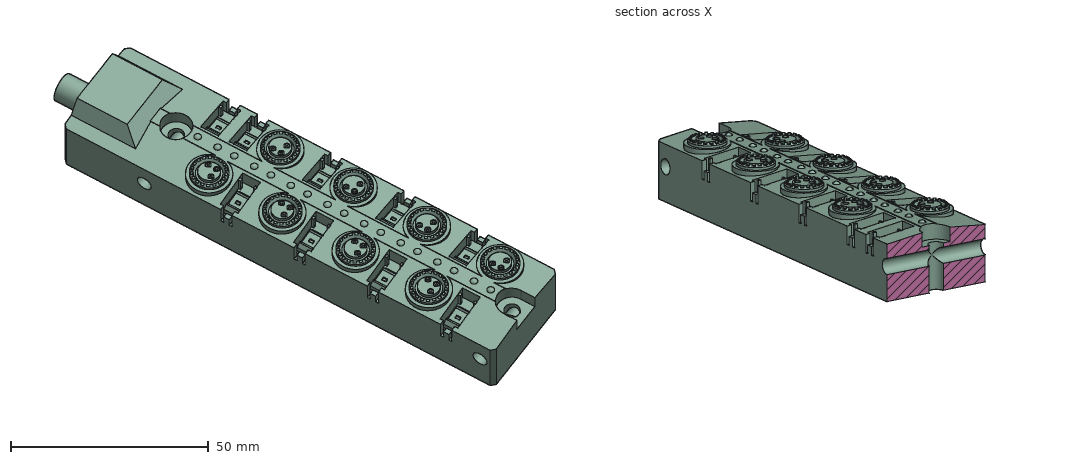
import cadquery as cq

total_length = 139.5
body_width = 30.0
total_height = 20.0

cable_length = 9.8
body_start = cable_length
body_length = total_length - body_start
half_width = body_width / 2
eave_height = 15.3
spine_height = 16.9
spine_half_width = 2.4
roof_slope = 0.11
corner_chamfer = 1.1
ridge_height = eave_height + roof_slope * half_width

cable_radius = 3.9
cable_height = 7.7

hood_top_half_width = 8.2
hood_top_end = 24.8
hood_side_run = 3.0
hood_front_run = 4.7
hood_base_height = eave_height

mount_places = (34.3, 135.3)
mount_hole_diameter = 4.2
mount_recess_radius = 4.2
mount_recess_floor = 12.7
cross_hole_height = 9.3

row_offset = 8.1
socket_pitch = 22.0
sockets_per_row = 4
first_front_socket = 49.4
first_back_socket = first_front_socket + socket_pitch / 2
socket_sink = 1.4
flange_radius = 6.0
collar_radius = 5.0
collar_shoulder_height = 17.6
crest_height = 18.3
crest_radius = 4.3
groove_outer_radius = 3.5
groove_inner_radius = 2.9
groove_floor = 17.0
socket_face_height = 18.0
serration_count = 18
serration_width = 0.8
serration_length = 1.1
serration_depth = 0.4
contact_places = ((1.3, 1.1), (-1.3, -1.5), (1.3, -1.5))
contact_diameter = 1.5
contact_depth = 0.4
contact_bore_diameter = 0.7
contact_bore_depth = 1.4

lamp_pitch = socket_pitch / 2
first_lamp = 40.7
second_lamp = 46.7
first_lamp_count = 9
second_lamp_count = 8
lamp_radius = 1.0
lamp_rise = 0.5

label_offset = 9.6
extra_back_label = 42.3
pocket_width = 5.3
pocket_inner_edge = 3.2
pocket_outer_edge = 13.7
pocket_depth = 4.0
insert_width = 3.9
tile_depth = 2.8
insert_outline = (
    (0.5, pocket_depth),
    (0.5, 2.5),
    (1.5, 1.5),
    (2.0, 1.5),
    (2.2, tile_depth),
    (6.3, tile_depth),
    (6.7, 2.5),
    (7.8, pocket_depth),
)
insert_sink = 1.4
mark_length = 1.3
mark_width = 0.8
mark_place = 4.2
mark_depth = 0.4
rib_width = 0.8
rib_from_top_end = 1.3
rib_reach = 0.7
rib_depth = 0.4
notch_width = 3.3
notch_floor = 10.5
tab_width = 1.7
tab_height = 12.8


def roof_height(y):
    """Height of the sloped roof at a distance y from the middle."""
    return ridge_height - roof_slope * abs(y)


def box(x_middle, y_start, y_end, z_start, z_end, width):
    """Box centred on x_middle between the given Y and Z limits."""
    size = (width, y_end - y_start, z_end - z_start)
    block = cq.Workplane("XY").box(*size, centered=(True, False, False))
    return block.translate((x_middle, y_start, z_start))


def extrude_yz(points, x_start, length):
    """Closed outline of (y, z) points extruded along +X."""
    return cq.Workplane("YZ", origin=(x_start, 0, 0)).polyline(points).close().extrude(length)


def make_body():
    spine_foot = roof_height(spine_half_width)
    section = [
        (-half_width, 0),
        (half_width, 0),
        (half_width, eave_height),
        (spine_half_width, spine_foot),
        (spine_half_width, spine_height),
        (-spine_half_width, spine_height),
        (-spine_half_width, spine_foot),
        (-half_width, eave_height),
    ]
    outline = (
        cq.Workplane("XY")
        .box(body_length, body_width, total_height, centered=(False, True, False))
        .edges("|Z")
        .chamfer(corner_chamfer)
        .translate((body_start, 0, 0))
    )
    return extrude_yz(section, body_start, body_length).intersect(outline)


def make_cable():
    overlap = 1.4
    circle = cq.Workplane("YZ").center(0, cable_height).circle(cable_radius)
    return circle.extrude(cable_length + overlap)


def make_hood():
    foot_half_width = hood_top_half_width + hood_side_run
    foot_end = hood_top_end + hood_front_run
    section = [
        (-foot_half_width, hood_base_height),
        (foot_half_width, hood_base_height),
        (hood_top_half_width, total_height),
        (-hood_top_half_width, total_height),
    ]
    side = [
        (body_start, hood_base_height),
        (foot_end, hood_base_height),
        (hood_top_end, total_height),
        (body_start, total_height),
    ]
    profile = cq.Workplane("XZ").polyline(side).close().extrude(half_width, both=True)
    return extrude_yz(section, body_start, foot_end - body_start).intersect(profile)


def make_mount_cuts():
    left, right = mount_places
    radius = mount_hole_diameter / 2
    ends = [(left, 0), (right, 0)]
    cuts = cq.Workplane("XY").pushPoints(ends).circle(radius).extrude(total_height)
    recess = cq.Workplane("XY", origin=(0, 0, mount_recess_floor))
    recess = recess.pushPoints(ends).circle(mount_recess_radius).extrude(total_height)
    open_end = cq.Workplane("XY").box(
        total_length - right, 2 * mount_recess_radius, total_height, centered=(False, True, False)
    )
    cross_places = [(x, cross_hole_height) for x in mount_places]
    cross = cq.Workplane("XZ").pushPoints(cross_places).circle(radius).extrude(half_width, both=True)
    return cuts.union(recess).union(open_end.translate((right, 0, mount_recess_floor))).union(cross)


def make_socket():
    """Socket on the Z axis, at its final height."""
    base = eave_height - socket_sink
    section = [
        (0, base),
        (flange_radius, base),
        (flange_radius, spine_height),
        (collar_radius, spine_height),
        (collar_radius, collar_shoulder_height),
        (crest_radius, crest_height),
        (groove_outer_radius, groove_floor),
        (groove_inner_radius, groove_floor),
        (groove_inner_radius, socket_face_height),
        (0, socket_face_height),
    ]
    socket = cq.Workplane("XZ").polyline(section).close().revolve(360, (0, 0, 0), (0, 1, 0))
    serrations = (
        cq.Workplane("XY", origin=(0, 0, crest_height - serration_depth))
        .polarArray(crest_radius, 0, 360, serration_count)
        .rect(serration_length, serration_width)
        .extrude(total_height)
    )
    face = cq.Workplane("XY", origin=(0, 0, socket_face_height)).pushPoints(contact_places)
    contacts = face.circle(contact_diameter / 2).extrude(-contact_depth)
    bores = face.circle(contact_bore_diameter / 2).extrude(-contact_bore_depth)
    return socket.cut(serrations).cut(contacts).cut(bores)


def make_lamps():
    """Low domes, each the top of a sphere sunk into the spine."""
    sphere_radius = (lamp_radius**2 + lamp_rise**2) / (2 * lamp_rise)
    sphere_middle = spine_height + lamp_rise - sphere_radius
    places = [first_lamp + lamp_pitch * i for i in range(first_lamp_count)]
    places += [second_lamp + lamp_pitch * i for i in range(second_lamp_count)]
    dome = cq.Workplane("XY").sphere(sphere_radius).rotate((0, 0, 0), (1, 0, 0), 90)
    return [dome.translate((x, 0, sphere_middle)) for x in places]


def label_span(side):
    """Pocket limits along Y; side is -1 at the -Y edge and 1 at the +Y edge."""
    return sorted((side * pocket_inner_edge, side * pocket_outer_edge))


def edge_block(side, x, top, width):
    """Box through the wall between a pocket and the body's edge."""
    start, end = sorted((side * pocket_outer_edge, side * half_width))
    return box(x, start, end, notch_floor, top, width)


def make_label_cuts(x, side):
    """Pocket with its floor parallel to the roof, and the notch in the edge beside it."""
    start, end = label_span(side)
    pocket = [
        (start, roof_height(start) - pocket_depth),
        (end, roof_height(end) - pocket_depth),
        (end, total_height),
        (start, total_height),
    ]
    return [
        extrude_yz(pocket, x - pocket_width / 2, pocket_width),
        edge_block(side, x, total_height, notch_width),
    ]


def make_insert(x, side):
    """Label holder standing in the pocket, with a shallow mark in its tile."""
    start = label_span(side)[0]
    outline = [(start + along, roof_height(start + along) - depth) for along, depth in insert_outline]
    foot_start, foot_end = outline[0], outline[-1]
    outline += [(foot_end[0], foot_end[1] - insert_sink), (foot_start[0], foot_start[1] - insert_sink)]
    insert = extrude_yz(outline, x - insert_width / 2, insert_width)

    mark_middle = start + mark_place
    mark_start = mark_middle - mark_width / 2
    mark_floor = roof_height(mark_middle) - tile_depth - mark_depth
    mark = box(x, mark_start, mark_start + mark_width, mark_floor, total_height, mark_length)
    return insert.cut(mark)


def make_ribs(x, side):
    """Upright ribs on both side walls of a pocket, near its +Y end."""
    rib_end = label_span(side)[1] - rib_from_top_end
    rib_start = rib_end - rib_width
    lower_roof, upper_roof = sorted((roof_height(rib_start), roof_height(rib_end)))
    foot = lower_roof - pocket_depth - insert_sink
    top = upper_roof - rib_depth
    offset = (pocket_width - rib_reach) / 2
    return [box(x + step, rib_start, rib_end, foot, top, rib_reach) for step in (-offset, offset)]


def make_label_parts(x, side):
    tab = edge_block(side, x, tab_height, tab_width)
    return [make_insert(x, side), tab] + make_ribs(x, side)


def solids(shapes):
    return [shape.val() for shape in shapes]


front_socket = make_socket().mirror("XZ")
back_socket = make_socket()
sockets = []
label_places = [(extra_back_label, 1)]
for i in range(sockets_per_row):
    front_x = first_front_socket + socket_pitch * i
    back_x = first_back_socket + socket_pitch * i
    sockets.append(front_socket.translate((front_x, -row_offset, 0)))
    sockets.append(back_socket.translate((back_x, row_offset, 0)))
    label_places += [(front_x + label_offset, -1), (back_x - label_offset, 1)]

cuts = [make_mount_cuts()]
additions = sockets + make_lamps()
for x, side in label_places:
    cuts += make_label_cuts(x, side)
    additions += make_label_parts(x, side)

housing = make_body().union(make_cable()).union(make_hood())
result = cq.Workplane(housing.val().cut(*solids(cuts)).fuse(*solids(additions))).clean().solids()